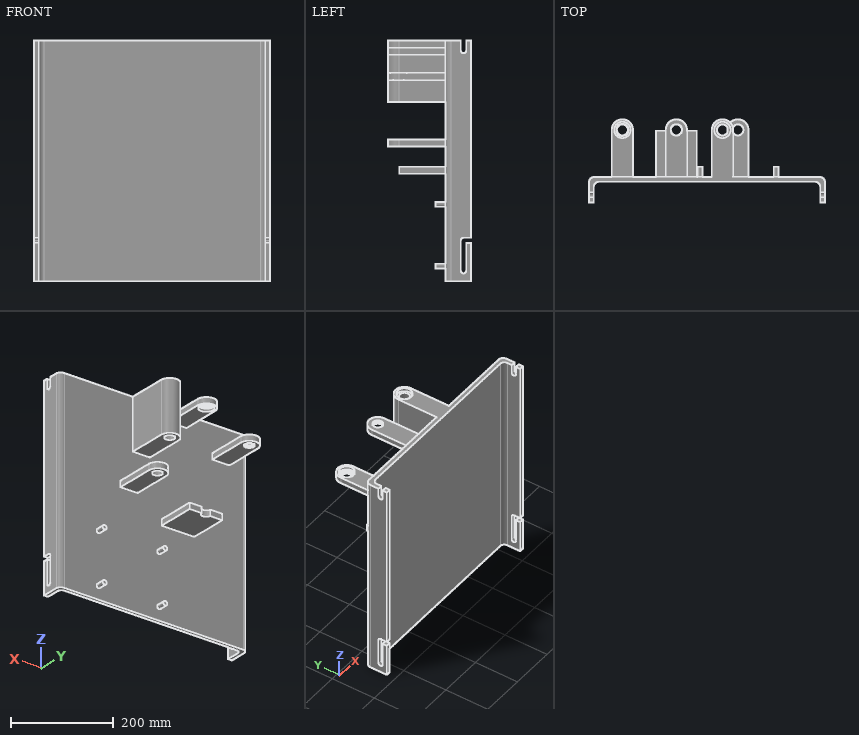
import cadquery as cq

WIDTH = 460.0
HEIGHT = 469.5
SHEET = 10.0
FLANGE_DEPTH = 50.2
BEND_OUTER_RADIUS = 11.0
BEND_INNER_RADIUS = 9.5
BACK = 112.0
PLATE_BACK_Y = (FLANGE_DEPTH - BACK) / 2
PLATE_FRONT_Y = PLATE_BACK_Y - SHEET
FLANGE_EDGE_Y = PLATE_BACK_Y - FLANGE_DEPTH

SLOT_WIDTH = 10.0
SLOT_RADIUS = SLOT_WIDTH / 2
SLOT_Y = FLANGE_EDGE_Y + 15.0
TOP_SLOT_DEPTH = 25.0
LOW_SLOT_BOTTOM = 16.0
LOW_SLOT_TOP = 85.0

LUG_WIDTH = 42.0
LUG_RADIUS = LUG_WIDTH / 2
LUG_THICKNESS = 14.0
LUG_HOLE_Y = PLATE_BACK_Y + BACK - LUG_RADIUS
PIN_HOLE = 21.0
BEARING_SEAT = 32.0
BEARING_SEAT_DEPTH = 7.0
SHOULDER_BORE = 24.0
SHOULDER_BORE_DEPTH = 10.5

LEFT_LUG_X = -165.0
LEFT_LUG_TOP = 406.0
MIDDLE_LUG_X = -59.5
MIDDLE_LUG_TOP = 455.5
TALL_LUG_X = 30.0
TALL_LUG_HEIGHT = 120.0
RIGHT_LUG_X = 60.0
RIGHT_LUG_TOP = 276.5

SHELF_WIDTH = 80.0
SHELF_LENGTH = 90.0
SHELF_TOP = 223.5

PIN_DIAMETER = 10.0
PIN_LENGTH = 19.5
PIN_XS = (-13.5, 134.7)
PIN_ZS = (30.0, 150.2)


def box(x_min, x_max, y_min, y_max, z_min, z_max):
    """Block between the given limits on each axis."""
    size = (x_max - x_min, y_max - y_min, z_max - z_min)
    return cq.Workplane("XY").box(*size, centered=False).translate((x_min, y_min, z_min))


def make_panel():
    """U-shaped sheet with rounded bends, standing on Z = 0."""
    half = WIDTH / 2
    outer = box(-half, half, FLANGE_EDGE_Y, PLATE_BACK_Y, 0, HEIGHT)
    outer = outer.edges("|Z and >Y").fillet(BEND_OUTER_RADIUS)
    inner = box(-half + SHEET, half - SHEET, FLANGE_EDGE_Y, PLATE_FRONT_Y, 0, HEIGHT)
    inner = inner.edges("|Z and >Y").fillet(BEND_INNER_RADIUS)
    return outer.cut(inner)


def make_slots():
    """Top slots and L-shaped lower slots, cut through both flanges."""
    half = WIDTH / 2
    back = SLOT_Y + SLOT_RADIUS
    front = SLOT_Y - SLOT_RADIUS
    top_end = HEIGHT - TOP_SLOT_DEPTH + SLOT_RADIUS
    low_end = LOW_SLOT_BOTTOM + SLOT_RADIUS
    corner = LOW_SLOT_TOP - SLOT_RADIUS
    slots = box(-half, half, front, back, top_end, HEIGHT)
    slots = slots.union(box(-half, half, front, back, low_end, corner))
    slots = slots.union(box(-half, half, FLANGE_EDGE_Y, SLOT_Y, LOW_SLOT_TOP - SLOT_WIDTH, LOW_SLOT_TOP))
    for z in (top_end, low_end, corner):
        round_end = cq.Workplane("YZ", origin=(-half, SLOT_Y, z)).circle(SLOT_RADIUS).extrude(WIDTH)
        slots = slots.union(round_end)
    return slots


def bore(x, top, diameter, depth):
    """Cutter on a lug's pin axis, going down from the given height."""
    return cq.Workplane("XY", origin=(x, LUG_HOLE_Y, top)).circle(diameter / 2).extrude(-depth)


def make_lug(x, top, thickness):
    """Round-ended lug growing from the plate, with a vertical pin hole."""
    base = top - thickness
    body = box(x - LUG_RADIUS, x + LUG_RADIUS, PLATE_FRONT_Y, LUG_HOLE_Y, base, top)
    end = cq.Workplane("XY", origin=(x, LUG_HOLE_Y, base)).circle(LUG_RADIUS).extrude(thickness)
    return body.union(end).cut(bore(x, top, PIN_HOLE, thickness))


def make_left_lug():
    """Lug with a stepped bearing seat opening upwards."""
    lug = make_lug(LEFT_LUG_X, LEFT_LUG_TOP, LUG_THICKNESS)
    lug = lug.cut(bore(LEFT_LUG_X, LEFT_LUG_TOP, BEARING_SEAT, BEARING_SEAT_DEPTH))
    return lug.cut(bore(LEFT_LUG_X, LEFT_LUG_TOP, SHOULDER_BORE, SHOULDER_BORE_DEPTH))


def make_middle_lug():
    """Lug with the same stepped seat opening downwards."""
    base = MIDDLE_LUG_TOP - LUG_THICKNESS
    lug = make_lug(MIDDLE_LUG_X, MIDDLE_LUG_TOP, LUG_THICKNESS)
    lug = lug.cut(bore(MIDDLE_LUG_X, base + BEARING_SEAT_DEPTH, BEARING_SEAT, BEARING_SEAT_DEPTH))
    return lug.cut(bore(MIDDLE_LUG_X, base + SHOULDER_BORE_DEPTH, SHOULDER_BORE, SHOULDER_BORE_DEPTH))


def make_tall_lug():
    """Thick lug flush with the top of the panel, with a bearing seat on top."""
    lug = make_lug(TALL_LUG_X, HEIGHT, TALL_LUG_HEIGHT)
    return lug.cut(bore(TALL_LUG_X, HEIGHT, BEARING_SEAT, BEARING_SEAT_DEPTH))


def make_shelf():
    """Rectangular shelf whose free edge is notched by the middle lug's pin axis."""
    half = SHELF_WIDTH / 2
    shelf = box(MIDDLE_LUG_X - half, MIDDLE_LUG_X + half,
                PLATE_FRONT_Y, PLATE_BACK_Y + SHELF_LENGTH,
                SHELF_TOP - LUG_THICKNESS, SHELF_TOP)
    return shelf.cut(bore(MIDDLE_LUG_X, SHELF_TOP, PIN_HOLE, LUG_THICKNESS))


def make_pin(x, z):
    """Round pin standing on the back of the plate and rooted in the sheet."""
    tip = cq.Workplane("XZ", origin=(x, PLATE_BACK_Y + PIN_LENGTH, z))
    return tip.circle(PIN_DIAMETER / 2).extrude(PIN_LENGTH + SHEET)


result = make_panel().cut(make_slots())
result = result.union(make_left_lug())
result = result.union(make_middle_lug())
result = result.union(make_tall_lug())
result = result.union(make_lug(RIGHT_LUG_X, RIGHT_LUG_TOP, LUG_THICKNESS))
result = result.union(make_shelf())
for pin_x in PIN_XS:
    for pin_z in PIN_ZS:
        result = result.union(make_pin(pin_x, pin_z))